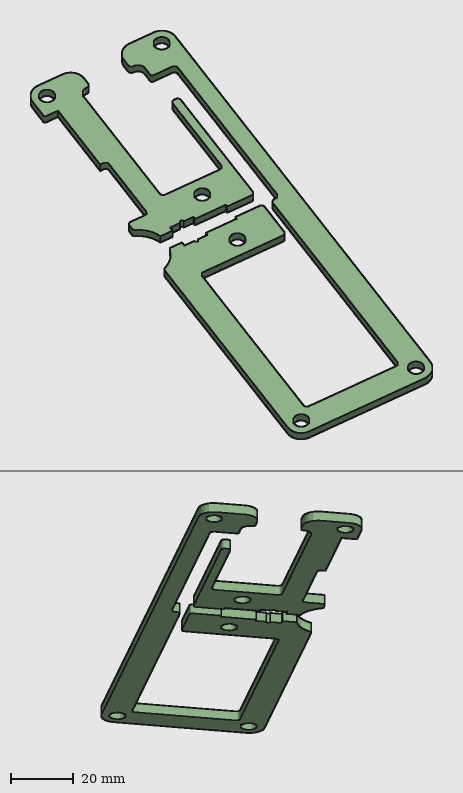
import cadquery as cq
import math

length = 167.6
width = 53.0
thickness = 3.2

corner_radius = 5.0
lug_inner_radius = 2.7
bend_radius = 1.3
window_radius = 1.2
edge_radius = 0.7

hole_diameter = 5.2
hole_inset = 5.2
key_hole_offset = 10.9
key_hole_y = 26.5

lug_width = 8.7
rear_lug_front = 33.9
front_lug_rear = 19.1
bracket_right = 15.3
arm_rear = 40.9
arm_front = 37.9

rear_rail_front = 47.0
rail_step_x = 79.1
window_rear = 44.0
window_right = 158.5
window_front = 9.0
post_right = 93.5

arm_left = 27.3
clip_window_right = 59.7
clip_rail_rear = 15.1
foot_right = 12.2
rail_front_left = 5.0
rail_front_right = 7.5
rail_front_step_x = 38.4
finger_left = 63.7

gap_axis = 76.6
gap_rear_half = 2.5
gap_middle_half = 3.4
gap_front_half = 4.4
gap_throat_half = 2.8
gap_rear_step_y = 30.7
gap_front_step_y = 19.3
gap_shoulder_y = 10.7
notch_y = 15.1
notch_radius = 0.7
mouth_radius = 10.0
mouth_center_y = -3.5
tip_radius = 1.0


def rounded_plate(corners):
    """Extrude a polygon of (x, y, radius) corners; radius 0 leaves a corner sharp."""
    outline = cq.Workplane("XY")
    started = False
    for index, (x, y, radius) in enumerate(corners):
        corner = cq.Vector(x, y)
        before = cq.Vector(*corners[index - 1][:2])
        after = cq.Vector(*corners[(index + 1) % len(corners)][:2])
        to_before = (before - corner).normalized()
        to_after = (after - corner).normalized()
        half_angle = to_before.getAngle(to_after) / 2
        setback = radius / math.tan(half_angle)
        start = corner + to_before * setback
        outline = outline.lineTo(start.x, start.y) if started else outline.moveTo(start.x, start.y)
        started = True
        if radius > 0:
            bisector = (to_before + to_after).normalized()
            middle = corner + bisector * (radius / math.sin(half_angle) - radius)
            end = corner + to_after * setback
            outline = outline.threePointArc((middle.x, middle.y), (end.x, end.y))
    return outline.close().extrude(thickness)


def cylinders(points, radius):
    return cq.Workplane("XY").pushPoints(points).circle(radius).extrude(thickness)


def gap_edge(side):
    """Corners of one gap wall from rear to front; side is -1 for the clip, +1 for the post."""
    return [
        (gap_axis + side * gap_rear_half, arm_rear, window_radius),
        (gap_axis + side * gap_rear_half, gap_rear_step_y, 0),
        (gap_axis + side * gap_middle_half, gap_rear_step_y, 0),
        (gap_axis + side * gap_middle_half, gap_front_step_y, 0),
        (gap_axis + side * gap_front_half, gap_front_step_y, 0),
        (gap_axis + side * gap_front_half, gap_shoulder_y, 0),
        (gap_axis + side * gap_throat_half, gap_shoulder_y, 0),
        (gap_axis + side * gap_throat_half, 0, 0),
    ]


def gap_notch(side):
    """Round notch centred on one gap wall."""
    return cylinders([(gap_axis + side * gap_front_half, notch_y)], notch_radius)


def finish_plate(plate, side, hole_points):
    """Cut the round gap mouth, round its tip, then cut the wall notch and the screw holes."""
    mouth = cylinders([(gap_axis, mouth_center_y)], mouth_radius)
    holes = cylinders(hole_points, hole_diameter / 2)
    mouth_half = math.sqrt(mouth_radius**2 - mouth_center_y**2)
    tip = (gap_axis + side * mouth_half, 0, thickness / 2)
    opened = plate.cut(mouth).edges("|Z").edges(cq.NearestToPointSelector(tip)).fillet(tip_radius)
    return opened.cut(gap_notch(side)).cut(holes)


def make_frame():
    corners = gap_edge(1) + [
        (length, 0, corner_radius),
        (length, width, corner_radius),
        (0, width, corner_radius),
        (0, rear_lug_front, corner_radius),
        (lug_width, rear_lug_front, window_radius),
        (lug_width, arm_front, lug_inner_radius),
        (bracket_right, arm_front, edge_radius),
        (bracket_right, rear_rail_front, bend_radius),
        (rail_step_x, rear_rail_front, bend_radius),
        (rail_step_x, window_rear, bend_radius),
        (window_right, window_rear, window_radius),
        (window_right, window_front, window_radius),
        (post_right, window_front, window_radius),
        (post_right, arm_rear, window_radius),
    ]
    holes = [
        (hole_inset, width - hole_inset),
        (length - hole_inset, width - hole_inset),
        (length - hole_inset, hole_inset),
        (gap_axis + key_hole_offset, key_hole_y),
    ]
    return finish_plate(rounded_plate(corners), 1, holes)


def make_clip():
    corners = gap_edge(-1) + [
        (finger_left, 0, window_radius),
        (finger_left, rail_front_right, window_radius),
        (rail_front_step_x, rail_front_right, window_radius),
        (rail_front_step_x, rail_front_left, 0),
        (foot_right, rail_front_left, 0),
        (foot_right, 0, edge_radius),
        (0, 0, corner_radius),
        (0, front_lug_rear, corner_radius),
        (lug_width, front_lug_rear, window_radius),
        (lug_width, clip_rail_rear, lug_inner_radius),
        (clip_window_right, clip_rail_rear, bend_radius),
        (clip_window_right, arm_front, bend_radius),
        (arm_left, arm_front, window_radius),
        (arm_left, arm_rear, window_radius),
    ]
    holes = [
        (hole_inset, hole_inset),
        (gap_axis - key_hole_offset, key_hole_y),
    ]
    return finish_plate(rounded_plate(corners), -1, holes)


frame = make_frame()
clip = make_clip()
result = cq.Compound.makeCompound([frame.val(), clip.val()])